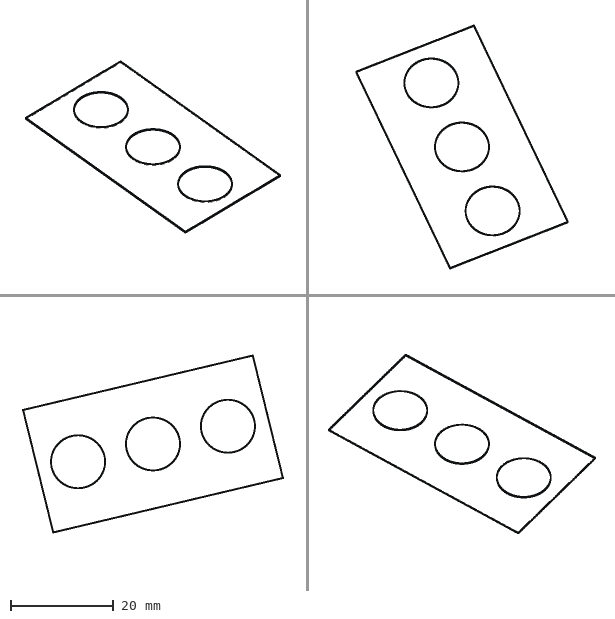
import cadquery as cq

plate_length = 46.0
plate_width = 25.0
plate_thickness = 0.25
hole_diameter = 10.5
hole_pitch = 15.0
hole_count = 3

plate = cq.Workplane("XY").box(plate_length, plate_width, plate_thickness)

result = (
    plate.faces(">Z")
    .workplane()
    .rarray(hole_pitch, plate_width, hole_count, 1)
    .hole(hole_diameter)
)